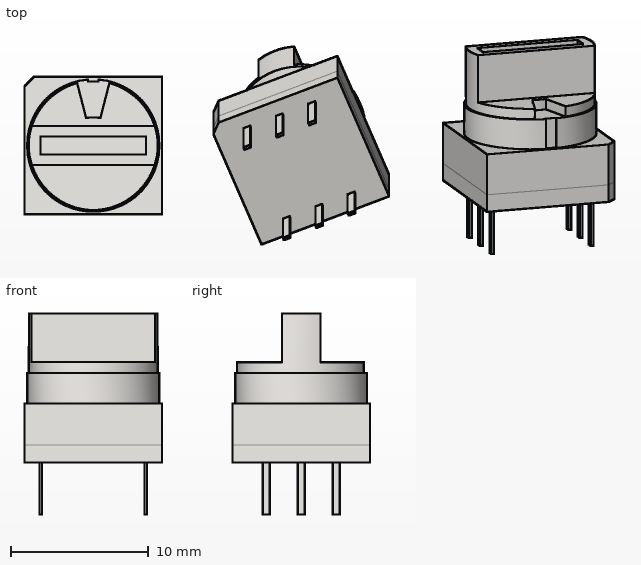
import cadquery as cq
import math

housing_side = 10.0
corner_chamfer = 0.7
base_height = 1.28
cover_height = 3.02

pin_length = 3.77
pin_thickness = 0.2
pin_width = 0.53
pin_pitch = 2.54
pins_per_row = 3
row_spacing = 3 * pin_pitch

collar_diameter = 9.6
collar_height = 2.22
notch_width = 0.79
notch_floor_distance = 4.65

disc_diameter = 9.37
disc_height = 0.77
window_inner_diameter = 4.1
window_half_angle = 14.5

grip_width = 2.8
grip_pocket_length = 7.66
grip_pocket_width = 1.28

total_height = 14.6
base_bottom = pin_length
cover_bottom = base_bottom + base_height
collar_bottom = cover_bottom + cover_height
disc_bottom = collar_bottom + collar_height
grip_bottom = disc_bottom + disc_height
grip_height = total_height - grip_bottom


def plane_at(z):
    return cq.Workplane("XY").workplane(offset=z)


def housing_slab(bottom, height):
    """Square slab with the (-X, +Y) corner cut off."""
    slab = plane_at(bottom).rect(housing_side, housing_side).extrude(height)
    return slab.edges("|Z and <X and >Y").chamfer(corner_chamfer)


def pins():
    """Two rows of flat pins, reaching down from the housing to Z = 0."""
    return (
        cq.Workplane("XY")
        .rarray(row_spacing, pin_pitch, 2, pins_per_row)
        .rect(pin_thickness, pin_width)
        .extrude(pin_length)
    )


def collar():
    """Cylinder with a flat-bottomed notch through the full height of its +Y rim."""
    body = plane_at(collar_bottom).circle(collar_diameter / 2).extrude(collar_height)
    notch_depth = collar_diameter / 2 - notch_floor_distance
    notch = (
        plane_at(collar_bottom)
        .center(0, notch_floor_distance + notch_depth / 2)
        .rect(notch_width, notch_depth)
        .extrude(collar_height)
    )
    return body.cut(notch)


def window():
    """Annular sector on the +Y side, running out past the edge of the disc."""
    inner_radius = window_inner_diameter / 2
    outer_radius = collar_diameter / 2
    half_angle = math.radians(window_half_angle)
    sine = math.sin(half_angle)
    cosine = math.cos(half_angle)
    return (
        plane_at(disc_bottom)
        .moveTo(-inner_radius * sine, inner_radius * cosine)
        .threePointArc((0, inner_radius), (inner_radius * sine, inner_radius * cosine))
        .lineTo(outer_radius * sine, outer_radius * cosine)
        .threePointArc((0, outer_radius), (-outer_radius * sine, outer_radius * cosine))
        .close()
        .extrude(disc_height)
    )


def disc():
    body = plane_at(disc_bottom).circle(disc_diameter / 2).extrude(disc_height)
    return body.cut(window())


def grip():
    """Bar along X whose ends follow the disc, with a pocket down to the disc top."""
    bar = plane_at(grip_bottom).rect(disc_diameter, grip_width).extrude(grip_height)
    rounding = plane_at(grip_bottom).circle(disc_diameter / 2).extrude(grip_height)
    pocket = plane_at(grip_bottom).rect(grip_pocket_length, grip_pocket_width).extrude(grip_height)
    return bar.intersect(rounding).cut(pocket)


rotor = disc().union(grip()).clean()

result = housing_slab(base_bottom, base_height)
result = result.union(housing_slab(cover_bottom, cover_height), clean=False)
for feature in (pins(), collar(), rotor):
    result = result.union(feature, clean=False)